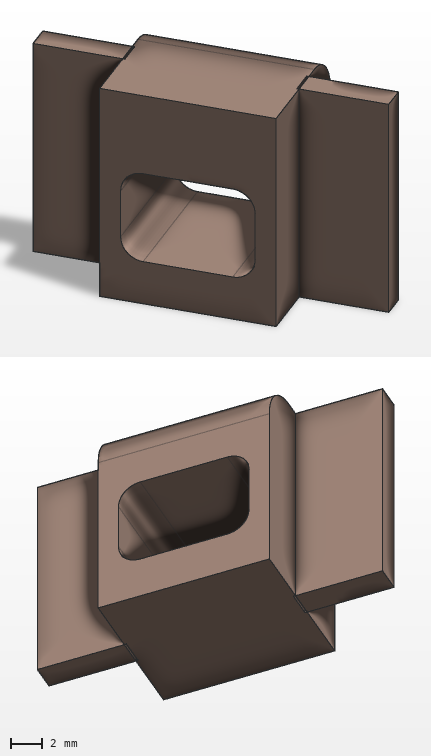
import cadquery as cq

total_length = 23.8
height = 14.8

block_length = 11.8
block_depth = 10.0
back_edge_radius = 3.0

window_length = 9.0
window_height = 6.25
window_sill = 3.0
window_corner_radius = 1.5

plate_thickness = 1.78
plate_front = 4.21
groove_depth = 0.15
plate_length = (total_length - block_length) / 2

SIDES = (-1, 1)


def upright_slab(inner_x, length, side):
    """Full-height slab as thick as a plate, running outward from inner_x."""
    return (
        cq.Workplane("XY")
        .box(length, plate_thickness, height, centered=(True, False, False))
        .translate((side * (inner_x + length / 2), plate_front, 0))
    )


def make_block():
    block = cq.Workplane("XY").box(
        block_length, block_depth, height, centered=(True, False, False)
    )
    block = block.edges(">Y and >Z").fillet(back_edge_radius)

    window = (
        cq.Workplane("XY")
        .box(window_length, block_depth, window_height, centered=(True, False, False))
        .edges("|Y")
        .fillet(window_corner_radius)
        .translate((0, 0, window_sill))
    )
    block = block.cut(window)

    groove_floor = block_length / 2 - groove_depth
    for side in SIDES:
        block = block.cut(upright_slab(groove_floor, groove_depth, side))
    return block


def make_plate(side):
    """Plate whose inner end lies in the plane of the block's side face."""
    return upright_slab(block_length / 2, plate_length, side)


block = make_block()
plates = [make_plate(side) for side in SIDES]

result = cq.Compound.makeCompound([block.val(), *[plate.val() for plate in plates]])